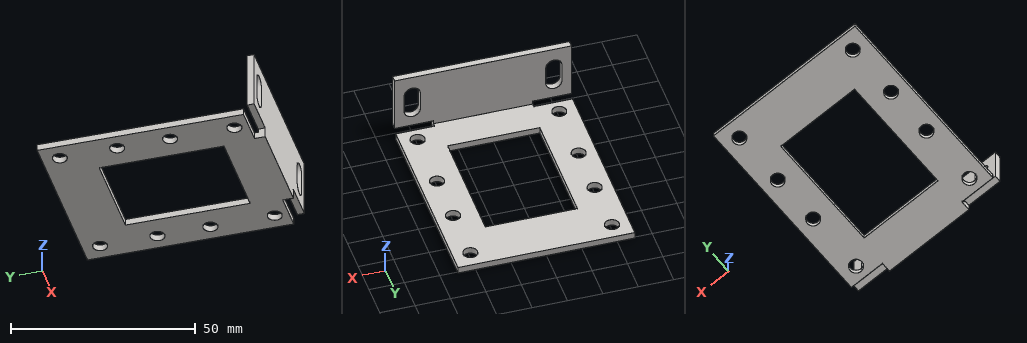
import cadquery as cq

width = 50.0
length = 61.0
height = 20.0
thickness = 2.0

tab_width = 28.05
relief = 3.0

window_width = 26.0
window_length = 35.0
window_back_margin = 14.1

hole_diameter = 4.0
hole_edge_distance = 5.0
hole_back_distances = (5.0, 21.1, 36.0, 54.05)

slot_width = 4.5
slot_length = 10.0
slot_edge_distance = 5.0
slot_center_z = 11.1


def block(size_x, size_y, size_z, y_start=0, z_start=0):
    """Box centred on X, starting at the given Y and Z."""
    return (
        cq.Workplane("XY")
        .box(size_x, size_y, size_z, centered=(True, False, False))
        .translate((0, y_start, z_start))
    )


def make_body():
    plate = block(width, length - relief, thickness, y_start=relief)
    flange = block(width, thickness, height - relief, z_start=relief)
    tab_wall = block(tab_width, thickness, height)
    tab_floor = block(tab_width, relief, thickness)
    return plate.union(tab_floor).union(tab_wall).union(flange)


def make_window():
    window_start = length - window_back_margin - window_length
    return block(window_width, window_length, thickness, y_start=window_start)


def make_plate_holes():
    hole_x = width / 2 - hole_edge_distance
    centers = [(side * hole_x, length - distance) for side in (-1, 1) for distance in hole_back_distances]
    return cq.Workplane("XY").pushPoints(centers).circle(hole_diameter / 2).extrude(thickness)


def make_flange_slots():
    slot_x = width / 2 - slot_edge_distance
    centers = [(side * slot_x, slot_center_z) for side in (-1, 1)]
    return cq.Workplane("XZ").pushPoints(centers).slot2D(slot_length, slot_width, 90).extrude(-thickness)


result = make_body().cut(make_window()).cut(make_plate_holes()).cut(make_flange_slots())